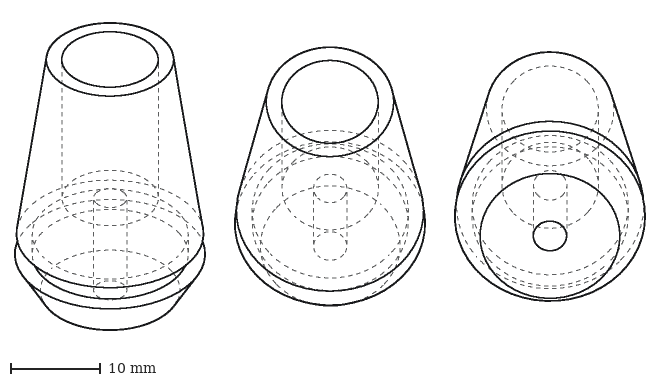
import cadquery as cq
import math

height = 31.5
rim_diameter = 21.3
rim_height = 4.9
nose_angle = 30.0

groove_diameter = 17.45
body_base_height = 7.7

body_top_diameter = 14.25
body_angle = 8.0

bore_diameter = 10.77
bore_depth = 18.9
through_hole_diameter = 3.72

rim_radius = rim_diameter / 2
groove_radius = groove_diameter / 2
body_top_radius = body_top_diameter / 2
nose_radius = rim_radius - rim_height * math.tan(math.radians(nose_angle))
body_length = height - body_base_height
body_base_radius = body_top_radius + body_length * math.tan(math.radians(body_angle))


def make_body():
    """Revolve the outer half profile about the Z axis."""
    profile = [
        (0, 0),
        (nose_radius, 0),
        (rim_radius, rim_height),
        (groove_radius, rim_height),
        (groove_radius, body_base_height),
        (body_base_radius, body_base_height),
        (body_top_radius, height),
        (0, height),
    ]
    return cq.Workplane("XZ").polyline(profile).close().revolve(360, (0, 0), (0, 1))


result = (
    make_body()
    .faces(">Z")
    .workplane()
    .cboreHole(through_hole_diameter, bore_diameter, bore_depth)
)